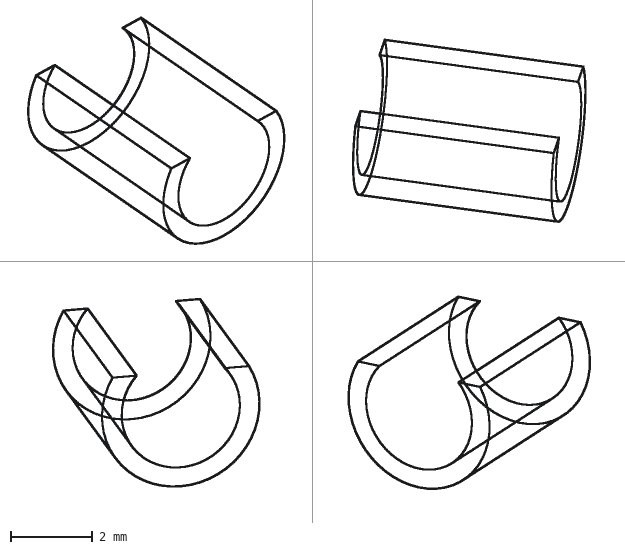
import cadquery as cq

length = 5.0
outer_diameter = 4.0
inner_diameter = 3.0
height = 3.0

outer_radius = outer_diameter / 2
lip_height = height - outer_radius
removed_height = outer_diameter - height

tube = (
    cq.Workplane("YZ")
    .circle(outer_radius)
    .circle(inner_diameter / 2)
    .extrude(length / 2, both=True)
)

top_slice = (
    cq.Workplane("XY")
    .workplane(offset=lip_height)
    .rect(length, outer_diameter)
    .extrude(removed_height)
)

result = tube.cut(top_slice)